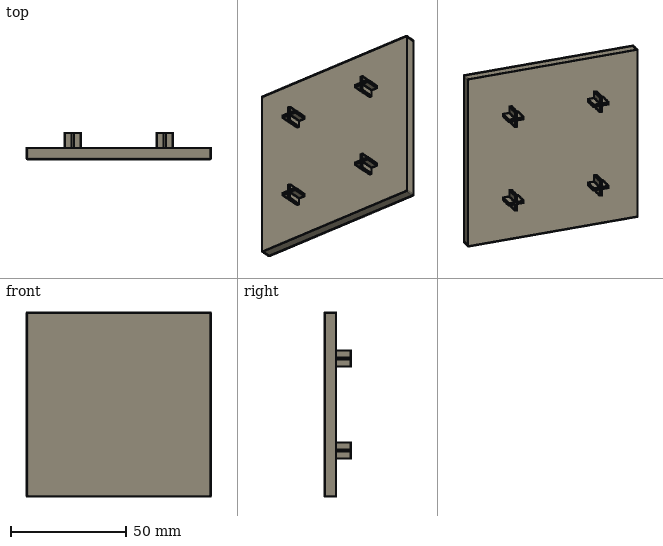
import cadquery as cq

plate_side = 80.0
plate_thickness = 5.0
edge_radius = 0.5

total_depth = 11.5
peg_length = total_depth - plate_thickness
peg_span = 7.0
peg_web = 1.0
peg_spacing = 40.0


def make_plate():
    """Plate from y = 0 to y = plate_thickness, rounded at its corners and around the front face."""
    plate = cq.Workplane("XY").box(
        plate_side, plate_thickness, plate_side, centered=(True, False, True)
    )
    return plate.edges("|Y or <Y").fillet(edge_radius)


def make_pegs():
    """Four plus-section pegs on a square grid, each made of two crossing webs."""
    back_face = cq.Workplane("XZ", origin=(0, plate_thickness, 0))
    peg_sites = back_face.rarray(peg_spacing, peg_spacing, 2, 2)
    flat_webs = peg_sites.rect(peg_span, peg_web).extrude(-peg_length)
    upright_webs = peg_sites.rect(peg_web, peg_span).extrude(-peg_length)
    return flat_webs.union(upright_webs)


result = make_plate().union(make_pegs())